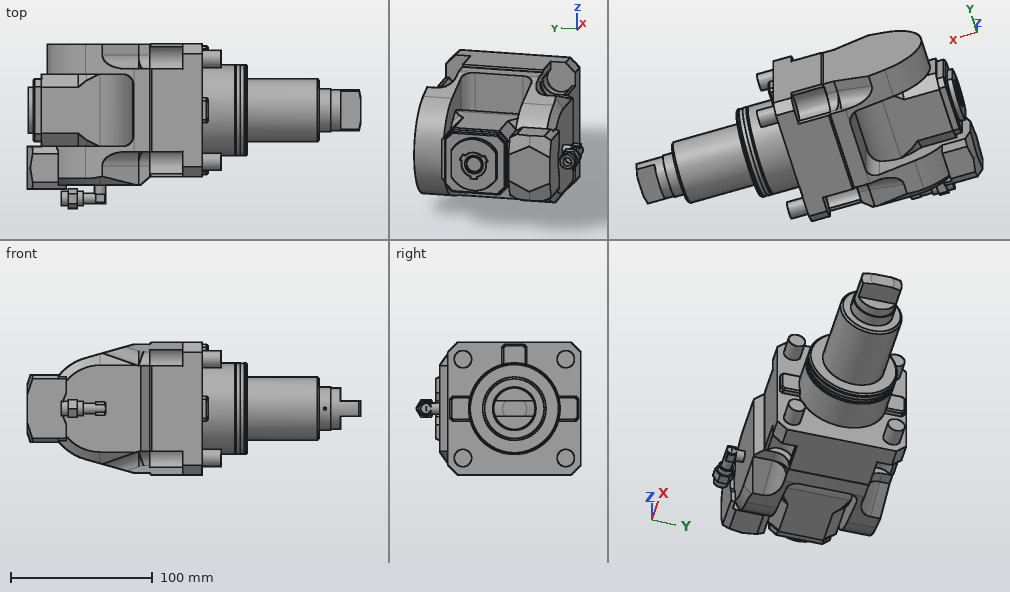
import cadquery as cq
import math


NOSE_RADIUS = 37.2
NOSE_CENTER_X = 51.5
HEAD_HALF_HEIGHT = 45.5
HEAD_SHOULDER_X = 75.5
HEAD_END_X = 86.7
HEAD_BACK_Y = 46.7
HEAD_FRONT_Y = -52.8
FRONT_FACE_END_X = 80.1
FACE_BEVEL_WIDTH = 6.5
FACE_BEVEL_DEPTH = 4.7
SLOT_END_X = 75.2
SLOT_CORNER_RADIUS = 8.0

PLATE_HALF = 47.02
PLATE_EDGE_BEVEL = 1.2
PLATE_END_X = 123.5
PLATE_CORNER_CUT = 7.0
RELIEF_END_X = 110.0
RELIEF_INNER_Y = 29.2
COUNTERBORE_RADIUS = 9.7
RELIEF_FLOOR = 30.2
RAMP_RELIEF_RADIUS = 10.0
RAMP_START_X = 78.7
RAMP_ANGLE = 19.4
RAMP_LENGTH = 33.0

BOLT_Y = 36.3
BOLT_Z = 35.0
BOLT_RADIUS = 6.1
BOLT_END_X = 137.0

KEY_WIDTH = 17.7
KEY_CORNER = 2.1
KEY_THICKNESS = 4.2
KEY_EDGE = 1.2
KEY_OUTER = 45.5
KEY_INNER = 30.6

COLLAR_RADIUS = 32.3
COLLAR_END_X = 155.5
COLLAR_GROOVES = ((146.5, 147.8, 0.7), (150.4, 153.2, 0.2))
SHANK_RADIUS = 22.5
SHANK_END_X = 206.2
SHANK_BEVEL = 1.5
NECK_RADIUS = 15.3
NECK_END_X = 214.5
TANG_RADIUS = 14.5
TANG_SHOULDER_X = 221.3
TANG_END_X = 235.7
TANG_HALF_THICKNESS = 5.5
TANG_BEVEL_LENGTH = 6.1
TANG_BEVEL_DEPTH = 1.5
PIN_HOLE_X = 210.2
PIN_HOLE_RADIUS = 1.0
PIN_HOLE_DEPTH = 2.4

HOUSING_START_X = 10.1
HOUSING_HALF_WIDTH = 25.57
HOUSING_HALF_HEIGHT = 23.5
HOUSING_CORNER_Y = 9.2
HOUSING_CORNER_Z = 9.7
HOUSING_CORNER_END_X = 36.0
HOUSING_BEVEL_STEP_X = 42.0
HOUSING_BEVEL_STEP = 0.5
HOUSING_RUNOUT_X = 51.1
COVER_START_X = 4.5
COVER_HALF = 22.2
COVER_CORNER = 5.5
COVER_EDGE = 1.0
CAP_START_X = 0.7
CAP_RADIUS = 18.9
CAP_HALF_WIDTH = 16.3
SOCKET_RADIUS = 9.0
SOCKET_DEPTH = 0.7
TAB_REACH = 10.4
TAB_WIDTH = 4.7
BORE_STEPS = ((6.5, 1.2), (5.5, 2.0))

BLOCK_HALF_HEIGHT = 23.8
BLOCK_FRONT_Y = -55.6
BLOCK_BACK_Y = -HOUSING_HALF_WIDTH
BLOCK_END_X = 27.8
BLOCK_SHOULDER_X = 22.2
BLOCK_NOTCH_X = 25.5
BLOCK_NOTCH_OUTER = 11.3
BLOCK_NOTCH_INNER = 5.7
BLOCK_BEVEL_Y = 5.0
BLOCK_BEVEL_Z = 2.8
BLOCK_TIP_Z = 16.7
BLOCK_SIDE_Z = 9.5
BLOCK_NOSE_SLOPE = 0.33

NOZZLE_Y = -62.35
PIPE_RADIUS = 3.8
POST_X = 51.6
POST_RADIUS = 4.0
ELBOW_START_X = 48.5
ELBOW_END_X = 55.0
ELBOW_HALF_HEIGHT = 4.7
ELBOW_FRONT_Y = -65.0
ELBOW_BACK_Y = -59.2
PIPE_END_X = 55.5
NUT_START_X = 24.0
NUT_END_X = 39.8
NUT_RADIUS = 5.2
HEX_START_X = 29.0
HEX_END_X = 35.5
HEX_DIAMETER = 14.1
NOZZLE_BORE_RADIUS = 3.0
NOZZLE_BORE_DEPTH = 7.0


def box(x, y, z):
    """Box from (low, high) pairs."""
    size = [high - low for low, high in (x, y, z)]
    return cq.Workplane("XY").box(*size, centered=False).translate((x[0], y[0], z[0]))


def rod(x_start, x_end, radius, y=0.0, z=0.0):
    """Cylinder along X."""
    return cq.Workplane("YZ", origin=(x_start, y, z)).circle(radius).extrude(x_end - x_start)


def bar(x_start, x_end, points):
    """Prism along X with a closed (y, z) outline."""
    return cq.Workplane("YZ", origin=(x_start, 0, 0)).polyline(points).close().extrude(x_end - x_start)


def octagon(half_y, half_z, cut_y, cut_z):
    """Rectangle outline with cut corners, as (y, z) points."""
    quarter = [(half_y, half_z - cut_z), (half_y - cut_y, half_z)]
    upper = quarter + [(-y, z) for y, z in reversed(quarter)]
    return upper + [(-y, -z) for y, z in upper]


def all_corners(solid):
    """A solid with its copies mirrored about Y = 0 and Z = 0."""
    both = solid.union(solid.mirror("XZ"))
    return both.union(both.mirror("XY"))


def flank_tangent(radius):
    """Tangent point, above the axis, of a flank that runs from the nose arc to the shoulder."""
    run = HEAD_SHOULDER_X - NOSE_CENTER_X
    reach = math.hypot(run, HEAD_HALF_HEIGHT)
    angle = math.atan2(HEAD_HALF_HEIGHT, run) + math.acos(radius / reach)
    return NOSE_CENTER_X + radius * math.cos(angle), radius * math.sin(angle)


def fork_outline(workplane):
    """Side outline of the fork: round nose, sloped flanks and parallel end."""
    tangent_x, tangent_z = flank_tangent(NOSE_RADIUS)
    return (
        workplane.moveTo(HEAD_END_X, -HEAD_HALF_HEIGHT)
        .lineTo(HEAD_SHOULDER_X, -HEAD_HALF_HEIGHT)
        .lineTo(tangent_x, -tangent_z)
        .threePointArc((NOSE_CENTER_X - NOSE_RADIUS, 0), (tangent_x, tangent_z))
        .lineTo(HEAD_SHOULDER_X, HEAD_HALF_HEIGHT)
        .lineTo(HEAD_END_X, HEAD_HALF_HEIGHT)
        .close()
    )


def front_bevel_envelope():
    """Flaring slab whose sides bevel the fork around its front face."""
    depth = HEAD_BACK_Y - HEAD_FRONT_Y
    flare = math.degrees(math.atan2(FACE_BEVEL_WIDTH, FACE_BEVEL_DEPTH))
    face_radius = NOSE_RADIUS - FACE_BEVEL_WIDTH
    length = HEAD_END_X - NOSE_CENTER_X + depth
    return (
        cq.Workplane("XZ", origin=(0, HEAD_FRONT_Y, 0))
        .moveTo(NOSE_CENTER_X + length, -face_radius)
        .lineTo(NOSE_CENTER_X, -face_radius)
        .threePointArc((NOSE_CENTER_X - face_radius, 0), (NOSE_CENTER_X, face_radius))
        .lineTo(NOSE_CENTER_X + length, face_radius)
        .close()
        .extrude(-depth, taper=-flare)
    )


def fork_head():
    depth = HEAD_BACK_Y - HEAD_FRONT_Y
    head = fork_outline(cq.Workplane("XZ", origin=(0, HEAD_FRONT_Y, 0))).extrude(-depth)
    head = head.intersect(front_bevel_envelope())
    back_slope = (
        cq.Workplane("XY", origin=(0, 0, -PLATE_HALF))
        .polyline([
            (FRONT_FACE_END_X, HEAD_FRONT_Y),
            (HEAD_END_X, -PLATE_HALF),
            (HEAD_END_X, HEAD_FRONT_Y),
        ])
        .close()
        .extrude(2 * PLATE_HALF)
    )
    slot = box(
        (0, SLOT_END_X),
        (-HOUSING_HALF_WIDTH, HOUSING_HALF_WIDTH),
        (-PLATE_HALF, PLATE_HALF),
    )
    slot = slot.edges("|Z and >X").fillet(SLOT_CORNER_RADIUS)
    return head.cut(back_slope).cut(slot)


def plate():
    blank = box(
        (HEAD_END_X, PLATE_END_X), (-PLATE_HALF, PLATE_HALF), (-PLATE_HALF, PLATE_HALF)
    )
    blank = blank.faces("<X").chamfer(PLATE_EDGE_BEVEL)
    corner_envelope = bar(
        HEAD_END_X,
        PLATE_END_X,
        octagon(PLATE_HALF, PLATE_HALF, PLATE_CORNER_CUT, PLATE_CORNER_CUT),
    )
    return blank.intersect(corner_envelope)


def relief_channel(x_start, x_end):
    """Round-cornered channel along X at the upper +Y corner, open upward and outward."""
    open_side = 2 * PLATE_HALF
    axis_y = RELIEF_INNER_Y + RAMP_RELIEF_RADIUS
    axis_z = RELIEF_FLOOR + RAMP_RELIEF_RADIUS
    arc_reach = RAMP_RELIEF_RADIUS * math.sqrt(0.5)
    return (
        cq.Workplane("YZ", origin=(x_start, 0, 0))
        .moveTo(RELIEF_INNER_Y, open_side)
        .lineTo(RELIEF_INNER_Y, axis_z)
        .threePointArc((axis_y - arc_reach, axis_z - arc_reach), (axis_y, RELIEF_FLOOR))
        .lineTo(open_side, RELIEF_FLOOR)
        .lineTo(open_side, open_side)
        .close()
        .extrude(x_end - x_start)
    )


def bolt_reliefs():
    notch = box(
        (HEAD_END_X, RELIEF_END_X), (RELIEF_INNER_Y, PLATE_HALF), (RELIEF_FLOOR, PLATE_HALF)
    )
    counterbore = rod(HEAD_END_X, RELIEF_END_X, COUNTERBORE_RADIUS, BOLT_Y, BOLT_Z)
    level = relief_channel(RAMP_START_X, HEAD_END_X)
    ramp = relief_channel(RAMP_START_X - RAMP_LENGTH, RAMP_START_X)
    hinge = (RAMP_START_X, 0, RELIEF_FLOOR)
    hinge_end = (RAMP_START_X, 1, RELIEF_FLOOR)
    ramp = ramp.rotate(hinge, hinge_end, RAMP_ANGLE)
    return all_corners(notch.union(counterbore).union(level).union(ramp))


def bolts():
    return all_corners(rod(RELIEF_END_X, BOLT_END_X, BOLT_RADIUS, BOLT_Y, BOLT_Z))


def keys():
    """Drive keys on the plate's rear face, at the top and both sides."""
    half = KEY_WIDTH / 2
    top_key = box((PLATE_END_X, PLATE_END_X + KEY_THICKNESS), (-half, half), (KEY_INNER, KEY_OUTER))
    top_key = top_key.edges("|X and >Z").chamfer(KEY_CORNER)
    top_key = top_key.faces(">X").chamfer(KEY_EDGE)
    left = top_key.rotate((0, 0, 0), (1, 0, 0), 90)
    right = top_key.rotate((0, 0, 0), (1, 0, 0), -90)
    return top_key.union(left).union(right)


def shank():
    collar = rod(PLATE_END_X, COLLAR_END_X, COLLAR_RADIUS).faces(">X").chamfer(PLATE_EDGE_BEVEL)
    for start, end, depth in COLLAR_GROOVES:
        ring = rod(start, end, COLLAR_RADIUS + depth).cut(rod(start, end, COLLAR_RADIUS - depth))
        collar = collar.cut(ring)
    body = rod(COLLAR_END_X, SHANK_END_X, SHANK_RADIUS).faces(">X").chamfer(SHANK_BEVEL)
    neck = rod(SHANK_END_X, NECK_END_X, NECK_RADIUS)
    pin_hole = (
        cq.Workplane("XZ", origin=(PIN_HOLE_X, -NECK_RADIUS, 0))
        .circle(PIN_HOLE_RADIUS)
        .extrude(-PIN_HOLE_DEPTH)
    )
    return collar.union(body).union(neck.cut(pin_hole)).union(tang())


def tang():
    blank = rod(NECK_END_X, TANG_END_X, TANG_RADIUS)
    blank = blank.faces(">X").chamfer(TANG_BEVEL_DEPTH, TANG_BEVEL_LENGTH)
    flat_heights = ((TANG_HALF_THICKNESS, TANG_RADIUS), (-TANG_RADIUS, -TANG_HALF_THICKNESS))
    for low, high in flat_heights:
        flat = box((TANG_SHOULDER_X, TANG_END_X), (-TANG_RADIUS, TANG_RADIUS), (low, high))
        blank = blank.cut(flat)
    return blank


def housing_corner_bevel():
    """Cutter for the upper +Y corner of the housing; it runs out in two steps to a point."""

    def triangle(scale):
        return [
            (HOUSING_HALF_WIDTH, HOUSING_HALF_HEIGHT),
            (HOUSING_HALF_WIDTH - HOUSING_CORNER_Y * scale, HOUSING_HALF_HEIGHT),
            (HOUSING_HALF_WIDTH, HOUSING_HALF_HEIGHT - HOUSING_CORNER_Z * scale),
        ]

    straight = bar(HOUSING_START_X, HOUSING_CORNER_END_X, triangle(1))
    steep = (
        cq.Workplane("YZ", origin=(HOUSING_CORNER_END_X, 0, 0))
        .polyline(triangle(1))
        .close()
        .workplane(offset=HOUSING_BEVEL_STEP_X - HOUSING_CORNER_END_X)
        .polyline(triangle(HOUSING_BEVEL_STEP))
        .close()
        .loft(ruled=True)
    )
    base = [cq.Vector(HOUSING_BEVEL_STEP_X, y, z) for y, z in triangle(HOUSING_BEVEL_STEP)]
    apex = cq.Vector(HOUSING_RUNOUT_X, HOUSING_HALF_WIDTH, HOUSING_HALF_HEIGHT)
    faces = [cq.Face.makeFromWires(cq.Wire.makePolygon(base, close=True))]
    for first, second in zip(base, base[1:] + base[:1]):
        faces.append(cq.Face.makeFromWires(cq.Wire.makePolygon([first, second, apex], close=True)))
    shallow = cq.Solid.makeSolid(cq.Shell.makeShell(faces))
    return straight.union(steep).union(cq.Workplane(obj=shallow))


def spindle_housing():
    width = (-HOUSING_HALF_WIDTH, HOUSING_HALF_WIDTH)
    height = (-HOUSING_HALF_HEIGHT, HOUSING_HALF_HEIGHT)
    housing = box((HOUSING_START_X, HOUSING_RUNOUT_X), width, height)
    round_back = (
        cq.Workplane("XZ", origin=(HOUSING_RUNOUT_X, -HOUSING_HALF_WIDTH, 0))
        .moveTo(0, -HOUSING_HALF_HEIGHT)
        .threePointArc((HOUSING_HALF_HEIGHT, 0), (0, HOUSING_HALF_HEIGHT))
        .close()
        .extrude(-2 * HOUSING_HALF_WIDTH)
    )
    housing = housing.cut(all_corners(housing_corner_bevel())).union(round_back)
    cover = bar(
        COVER_START_X,
        HOUSING_START_X,
        octagon(COVER_HALF, COVER_HALF, COVER_CORNER, COVER_CORNER),
    )
    return housing.union(cover.faces("<X").chamfer(COVER_EDGE)).union(spindle_cap())


def spindle_cap():
    cap = rod(CAP_START_X, COVER_START_X, CAP_RADIUS).intersect(
        box(
            (CAP_START_X, COVER_START_X),
            (-CAP_HALF_WIDTH, CAP_HALF_WIDTH),
            (-CAP_RADIUS, CAP_RADIUS),
        )
    )
    socket_floor = CAP_START_X + SOCKET_DEPTH
    socket = rod(CAP_START_X, socket_floor, SOCKET_RADIUS)
    tab = box((CAP_START_X, socket_floor), (-TAB_WIDTH / 2, TAB_WIDTH / 2), (-TAB_REACH, 0))
    for angle in (0, 120, 240):
        socket = socket.union(tab.rotate((0, 0, 0), (1, 0, 0), angle))
    cap = cap.cut(socket)
    for radius, depth in BORE_STEPS:
        cap = cap.cut(rod(CAP_START_X, CAP_START_X + depth, radius))
    return cap


def clamp_block():
    half_width = (BLOCK_BACK_Y - BLOCK_FRONT_Y) / 2
    center_y = BLOCK_FRONT_Y + half_width
    outline = octagon(half_width, BLOCK_HALF_HEIGHT, BLOCK_BEVEL_Y, BLOCK_BEVEL_Z)
    block = bar(0, BLOCK_END_X, [(center_y + y, z) for y, z in outline])
    notch_profile = [
        (BLOCK_END_X, BLOCK_NOTCH_OUTER),
        (BLOCK_NOTCH_X, BLOCK_NOTCH_INNER),
        (BLOCK_NOTCH_X, -BLOCK_NOTCH_INNER),
        (BLOCK_END_X, -BLOCK_NOTCH_OUTER),
    ]
    notch = (
        cq.Workplane("XZ", origin=(0, BLOCK_FRONT_Y, 0))
        .polyline(notch_profile)
        .close()
        .extrude(-(HEAD_FRONT_Y - BLOCK_FRONT_Y))
    )
    behind_lip = box(
        (BLOCK_SHOULDER_X, BLOCK_END_X),
        (HEAD_FRONT_Y, BLOCK_BACK_Y),
        (-BLOCK_HALF_HEIGHT, BLOCK_HALF_HEIGHT),
    )
    return block.cut(notch).cut(behind_lip).intersect(nose_envelope(half_width, center_y))


def nose_envelope(half_width, center_y):
    """Four-sided pyramid frustum that gives the block its hexagonal flat nose."""
    rhombus_half_width = half_width * BLOCK_TIP_Z / (BLOCK_TIP_Z - BLOCK_SIDE_Z)
    growth = 1 + BLOCK_END_X / (BLOCK_NOSE_SLOPE * BLOCK_TIP_Z)

    def rhombus(scale):
        return [
            (rhombus_half_width * scale, 0),
            (0, BLOCK_TIP_Z * scale),
            (-rhombus_half_width * scale, 0),
            (0, -BLOCK_TIP_Z * scale),
        ]

    return (
        cq.Workplane("YZ", origin=(0, center_y, 0))
        .polyline(rhombus(1))
        .close()
        .workplane(offset=BLOCK_END_X)
        .polyline(rhombus(growth))
        .close()
        .loft(ruled=True)
    )


def coolant_nozzle():
    post = (
        cq.Workplane("XZ", origin=(POST_X, HEAD_FRONT_Y, 0))
        .circle(POST_RADIUS)
        .extrude(HEAD_FRONT_Y - NOZZLE_Y)
    )
    elbow = box(
        (ELBOW_START_X, ELBOW_END_X),
        (ELBOW_FRONT_Y, ELBOW_BACK_Y),
        (-ELBOW_HALF_HEIGHT, ELBOW_HALF_HEIGHT),
    )
    pipe = rod(NUT_END_X, PIPE_END_X, PIPE_RADIUS, NOZZLE_Y)
    nut = rod(NUT_START_X, NUT_END_X, NUT_RADIUS, NOZZLE_Y)
    hexagon = (
        cq.Workplane("YZ", origin=(HEX_START_X, NOZZLE_Y, 0))
        .polygon(6, HEX_DIAMETER)
        .extrude(HEX_END_X - HEX_START_X)
    )
    bore = rod(NUT_START_X, NUT_START_X + NOZZLE_BORE_DEPTH, NOZZLE_BORE_RADIUS, NOZZLE_Y)
    return post.union(elbow).union(pipe).union(nut).union(hexagon).cut(bore)


holder = fork_head().union(plate()).cut(bolt_reliefs())
for feature in (bolts(), keys(), shank(), spindle_housing(), clamp_block(), coolant_nozzle()):
    holder = holder.union(feature)

result = holder